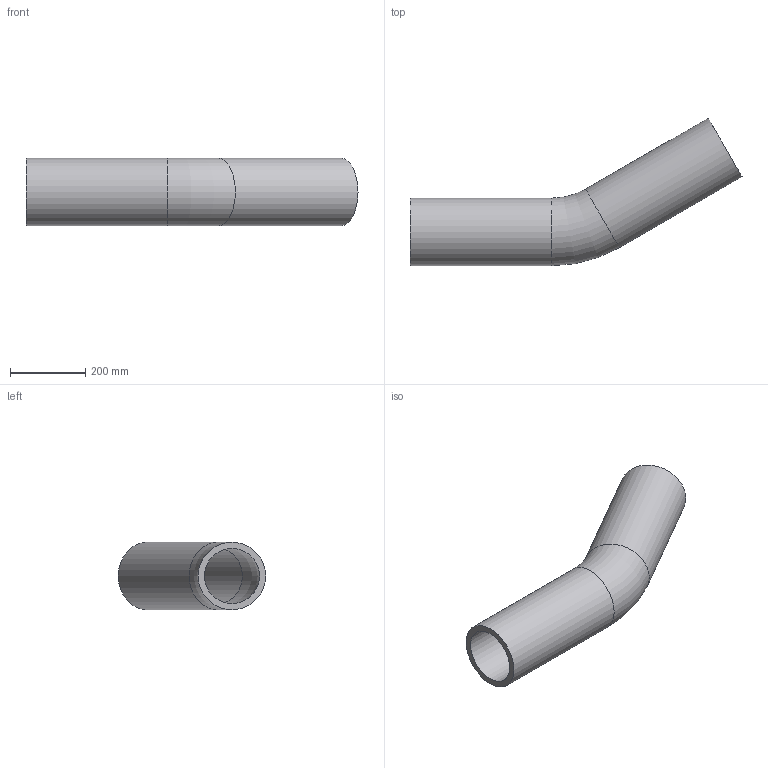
import cadquery as cq
import math

OUTER_DIAMETER = 180.0
INNER_DIAMETER = 147.2
BEND_ANGLE = 30.0
CENTRE_TO_END = 450.0
BEND_RADIUS = 1.5 * OUTER_DIAMETER

bend_angle_rad = math.radians(BEND_ANGLE)
tangent_length = BEND_RADIUS * math.tan(bend_angle_rad / 2)
leg_length = CENTRE_TO_END - tangent_length


def ring(plane):
    """Cross-section of the pipe wall on the given plane."""
    return cq.Workplane(plane).circle(OUTER_DIAMETER / 2).circle(INNER_DIAMETER / 2)


def straight_leg(start, direction):
    """Straight pipe of one leg length, running from start along direction."""
    plane = cq.Plane(origin=start, xDir=(0, 0, 1), normal=direction)
    return ring(plane).extrude(leg_length)


def bend(start):
    """Curved pipe that starts along +X and turns toward +Y."""
    plane = cq.Plane(origin=start, xDir=(0, 1, 0), normal=(1, 0, 0))
    return ring(plane).revolve(BEND_ANGLE, (BEND_RADIUS, 0, 0), (BEND_RADIUS, 1, 0))


outlet_direction = (math.cos(bend_angle_rad), math.sin(bend_angle_rad), 0)
inlet_end = (-CENTRE_TO_END, 0, 0)
bend_start = (-tangent_length, 0, 0)
bend_end = tuple(tangent_length * component for component in outlet_direction)

inlet_leg = straight_leg(inlet_end, (1, 0, 0))
outlet_leg = straight_leg(bend_end, outlet_direction)

result = inlet_leg.union(bend(bend_start)).union(outlet_leg)